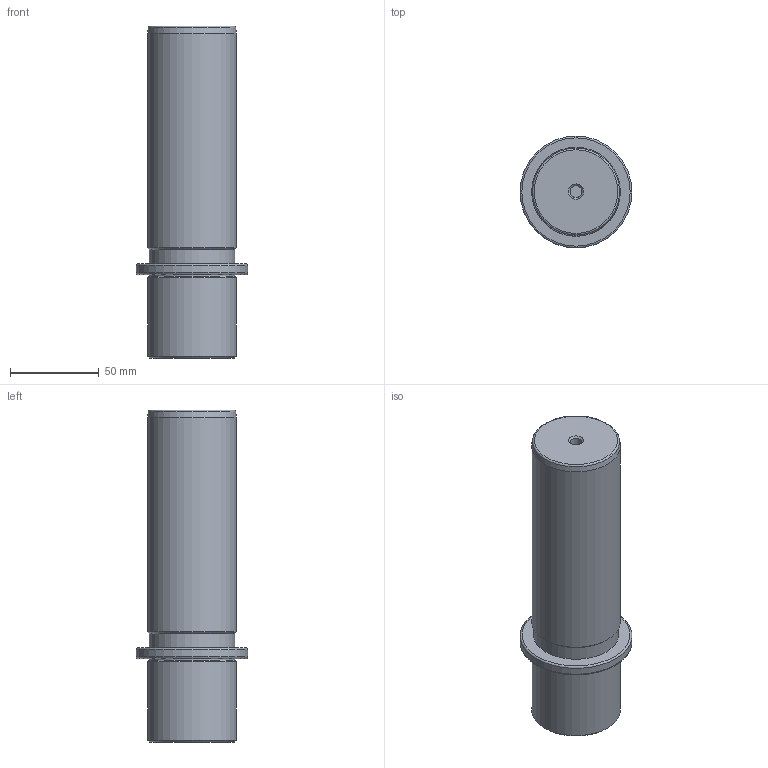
import cadquery as cq

total_length = 187.0
pin_radius = 25.0
flange_radius = 31.5
neck_radius = 24.0

flange_bottom = 47.0
flange_thickness = 6.0
flange_top = flange_bottom + flange_thickness
neck_length = 8.0
guide_bottom = flange_top + neck_length
relief_width = 1.0
shank_top = flange_bottom - relief_width

pin_chamfer = 1.0
shank_top_chamfer = 0.75
flange_fillet = 1.0

lead_length = 4.0
lead_end_radius = 24.4
lead_fillet = 1.0

hole_diameter = 6.6
hole_depth = 20.0
countersink_diameter = 8.6
countersink_angle = 90.0


def cylinder(radius, bottom, top):
    """Cylinder on the pin axis between two heights."""
    return cq.Workplane("XY").workplane(offset=bottom).circle(radius).extrude(top - bottom)


def make_shank():
    """Lower fitting shank, chamfered at both ends."""
    shank = cylinder(pin_radius, 0, shank_top).faces("<Z").edges().chamfer(pin_chamfer)
    return shank.faces(">Z").edges().chamfer(shank_top_chamfer)


def make_neck():
    """Undercut core running through the flange, from the shank to the guide section."""
    return cylinder(neck_radius, shank_top, guide_bottom)


def make_flange():
    """Locating flange with rounded rims."""
    return cylinder(flange_radius, flange_bottom, flange_top).edges().fillet(flange_fillet)


def make_guide():
    """Upper guide section with a chamfered lower rim and a slightly tapered, rounded lead-in."""
    lead_bottom = total_length - lead_length
    profile = (
        cq.Workplane("XZ")
        .moveTo(0, guide_bottom)
        .lineTo(pin_radius - pin_chamfer, guide_bottom)
        .lineTo(pin_radius, guide_bottom + pin_chamfer)
        .lineTo(pin_radius, lead_bottom)
        .lineTo(lead_end_radius, total_length)
        .lineTo(0, total_length)
        .close()
    )
    guide = profile.revolve(360, (0, 0, 0), (0, 1, 0))
    return guide.faces(">Z").edges().fillet(lead_fillet)


def add_hole(body):
    """Countersunk blind hole on the axis of the upper face."""
    return (
        body.faces(">Z")
        .workplane(origin=(0, 0, total_length))
        .cskHole(hole_diameter, countersink_diameter, countersink_angle, hole_depth)
    )


pin = make_shank().union(make_neck()).union(make_flange()).union(make_guide())
result = add_hole(pin)